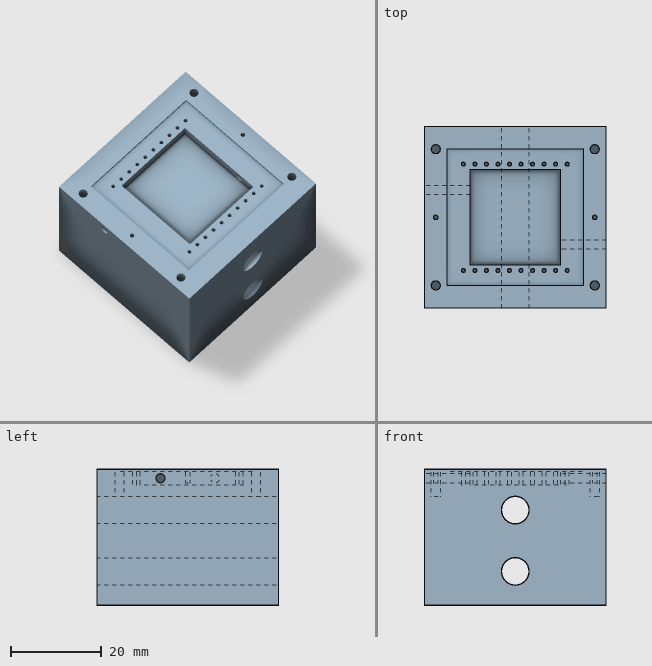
import cadquery as cq

LENGTH = 40.0
WIDTH = 40.0
HEIGHT = 30.0

RECESS_SIZE = 30.0
RECESS_DEPTH = 0.5
RECESS_FLOOR_Z = HEIGHT - RECESS_DEPTH

POCKET_LENGTH = 20.0
POCKET_WIDTH = 21.0
POCKET_DEPTH = 3.0

PIN_DIAMETER = 0.86
PIN_DEPTH = 3.0
PIN_COUNT = 10
PIN_PITCH = 2.54
PIN_ROW_Y = 11.7

RIM_HOLE_X = (LENGTH + RECESS_SIZE) / 4
SCREW_DIAMETER = 2.0
SCREW_DEPTH = 6.0
SCREW_Y = RECESS_SIZE / 2
DOWEL_DIAMETER = 1.0
DOWEL_DEPTH = 3.0

BORE_DIAMETER = 6.0
BORE_HEIGHTS = (7.5, 21.0)

PORT_DIAMETER = 2.0
PORT_Y = 6.0
PORT_Z = HEIGHT - 2.0
PORT_LENGTH = (LENGTH - POCKET_LENGTH) / 2


def cut_recess_and_pocket(body):
    """Sink the recess into the top face and the pocket into the recess floor."""
    body = body.cut(top_box(RECESS_SIZE, RECESS_SIZE, RECESS_DEPTH, HEIGHT))
    return body.cut(top_box(POCKET_LENGTH, POCKET_WIDTH, POCKET_DEPTH, RECESS_FLOOR_Z))


def top_box(length, width, depth, top_z):
    """Centred box reaching down by depth from top_z."""
    return cq.Workplane("XY", origin=(0, 0, top_z)).rect(length, width).extrude(-depth)


def drill_down(body, points, diameter, depth, top_z):
    """Drill flat-bottomed holes downward from top_z at the given XY points."""
    plane = cq.Workplane("XY", origin=(0, 0, top_z))
    return body.cut(plane.pushPoints(points).circle(diameter / 2).extrude(-depth))


def drill_pin_rows(body):
    """Drill both rows of pin holes, centred on X = 0."""
    first_x = -PIN_PITCH * (PIN_COUNT - 1) / 2
    points = [
        (first_x + PIN_PITCH * i, row_y)
        for i in range(PIN_COUNT)
        for row_y in (-PIN_ROW_Y, PIN_ROW_Y)
    ]
    return drill_down(body, points, PIN_DIAMETER, PIN_DEPTH, RECESS_FLOOR_Z)


def drill_rim_holes(body):
    """Drill the four screw holes and two dowel holes in the rim."""
    sides = (-RIM_HOLE_X, RIM_HOLE_X)
    screws = [(x, y) for x in sides for y in (-SCREW_Y, SCREW_Y)]
    dowels = [(x, 0) for x in sides]
    body = drill_down(body, screws, SCREW_DIAMETER, SCREW_DEPTH, HEIGHT)
    return drill_down(body, dowels, DOWEL_DIAMETER, DOWEL_DEPTH, HEIGHT)


def cut_bores(body):
    """Cut the bores from the front face to the back face."""
    points = [(0, z) for z in BORE_HEIGHTS]
    plane = cq.Workplane("XZ", origin=(0, WIDTH / 2, 0))
    return body.cut(plane.pushPoints(points).circle(BORE_DIAMETER / 2).extrude(WIDTH))


def cut_ports(body):
    """Cut the two side ports, half a turn apart about the Z axis."""
    for side in (-1, 1):
        plane = cq.Workplane("YZ", origin=(side * LENGTH / 2, -side * PORT_Y, PORT_Z))
        body = body.cut(plane.circle(PORT_DIAMETER / 2).extrude(-side * PORT_LENGTH))
    return body


block = cq.Workplane("XY").box(LENGTH, WIDTH, HEIGHT, centered=(True, True, False))
block = cut_recess_and_pocket(block)
block = drill_pin_rows(block)
block = drill_rim_holes(block)
block = cut_bores(block)
result = cut_ports(block)